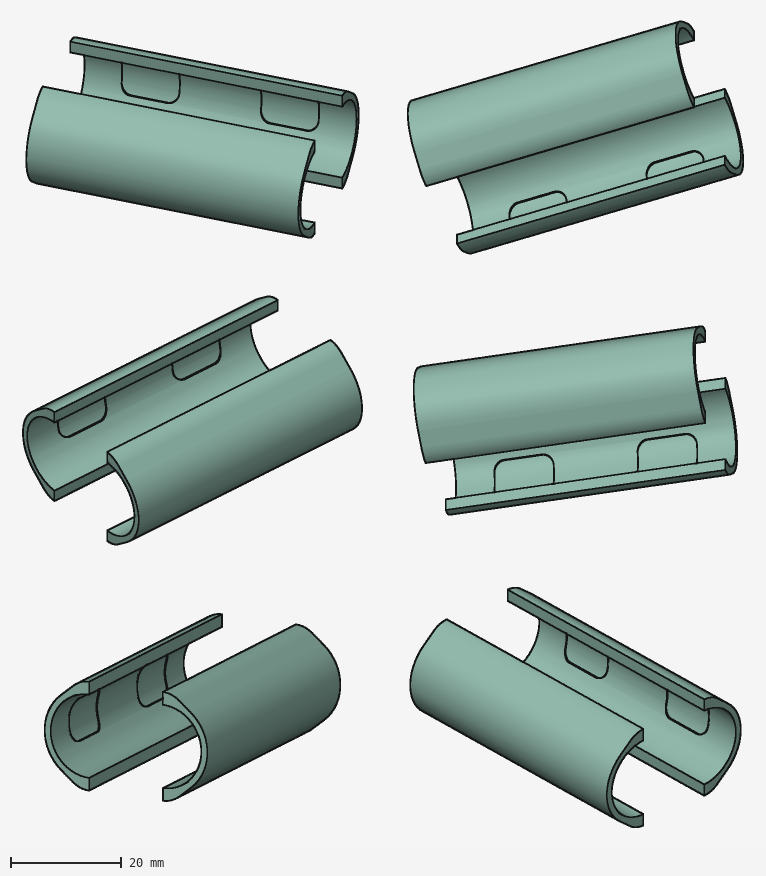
import cadquery as cq
import math

LENGTH = 52.0
OVERALL_WIDTH = 33.1
OVERALL_HEIGHT = 20.4
WALL = 1.25
BORE_RADIUS = 7.8
LIP_RADIUS = 5.1

OUTER_RADIUS = BORE_RADIUS + WALL
LIP_FACE_Y = OVERALL_WIDTH / 2 - OUTER_RADIUS
LIP_CENTER_Z = OVERALL_HEIGHT / 2 - LIP_RADIUS

RECESS_SPACING = 26.6
RECESS_LENGTH = 11.0
RECESS_HEIGHT = 8.0
RECESS_CORNER_RADIUS = 2.0
RECESS_DEPTH = 0.2


def shell_blank():
    """Extruded half shell on the +Y side, open towards -Y, with a thick lip at top and bottom."""
    tangent_angle = math.acos((OUTER_RADIUS - LIP_RADIUS) / LIP_CENTER_Z)
    sine = math.sin(tangent_angle)
    cosine = math.cos(tangent_angle)
    half_angle = tangent_angle / 2

    lip_mid_y = LIP_FACE_Y + LIP_RADIUS * math.sin(half_angle)
    lip_mid_z = LIP_CENTER_Z + LIP_RADIUS * math.cos(half_angle)
    lip_end_y = LIP_FACE_Y + LIP_RADIUS * sine
    lip_end_z = LIP_CENTER_Z + LIP_RADIUS * cosine
    outer_y = LIP_FACE_Y + OUTER_RADIUS * sine
    outer_z = OUTER_RADIUS * cosine
    tip_z = OVERALL_HEIGHT / 2

    return (
        cq.Workplane("YZ", origin=(-LENGTH / 2, 0, 0))
        .moveTo(LIP_FACE_Y, BORE_RADIUS)
        .lineTo(LIP_FACE_Y, tip_z)
        .threePointArc((lip_mid_y, lip_mid_z), (lip_end_y, lip_end_z))
        .lineTo(outer_y, outer_z)
        .threePointArc((LIP_FACE_Y + OUTER_RADIUS, 0), (outer_y, -outer_z))
        .lineTo(lip_end_y, -lip_end_z)
        .threePointArc((lip_mid_y, -lip_mid_z), (LIP_FACE_Y, -tip_z))
        .lineTo(LIP_FACE_Y, -BORE_RADIUS)
        .threePointArc((LIP_FACE_Y + BORE_RADIUS, 0), (LIP_FACE_Y, BORE_RADIUS))
        .close()
        .extrude(LENGTH)
    )


def label_recess(center_x):
    """Cutter for a rounded rectangular recess whose floor is concentric with the bore."""
    floor_radius = BORE_RADIUS + RECESS_DEPTH
    floor_cylinder = (
        cq.Workplane("YZ", origin=(center_x - RECESS_LENGTH / 2, LIP_FACE_Y, 0))
        .circle(floor_radius)
        .extrude(RECESS_LENGTH)
    )
    window = (
        cq.Workplane("XZ", origin=(center_x, LIP_FACE_Y, 0))
        .rect(RECESS_LENGTH, RECESS_HEIGHT)
        .extrude(-OUTER_RADIUS)
        .edges("|Y")
        .fillet(RECESS_CORNER_RADIUS)
    )
    return floor_cylinder.intersect(window)


def half_shell():
    """One complete half shell on the +Y side."""
    shell = shell_blank()
    for side in (-1, 1):
        shell = shell.cut(label_recess(side * RECESS_SPACING / 2))
    return shell


half_shells = []
for turn in (0, 180):
    half_shells.append(half_shell().rotate((0, 0, 0), (0, 0, 1), turn).val())

result = cq.Compound.makeCompound(half_shells)